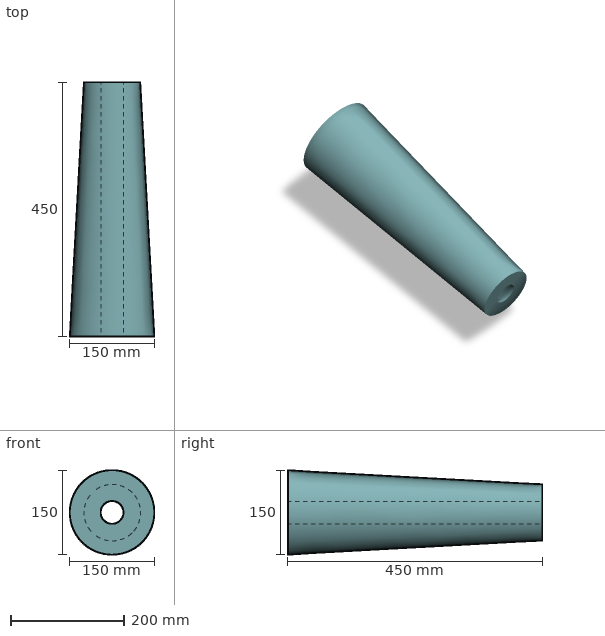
import cadquery as cq

length = 450.0
large_diameter = 150.0
small_diameter = 100.0
bore_diameter = 40.0


def tapered_tube():
    """Revolve the wall section about the Y axis."""
    bore_radius = bore_diameter / 2
    wall_section = (
        cq.Workplane("XY")
        .moveTo(bore_radius, 0)
        .lineTo(large_diameter / 2, 0)
        .lineTo(small_diameter / 2, length)
        .lineTo(bore_radius, length)
        .close()
    )
    return wall_section.revolve(360, (0, 0, 0), (0, 1, 0))


result = tapered_tube()